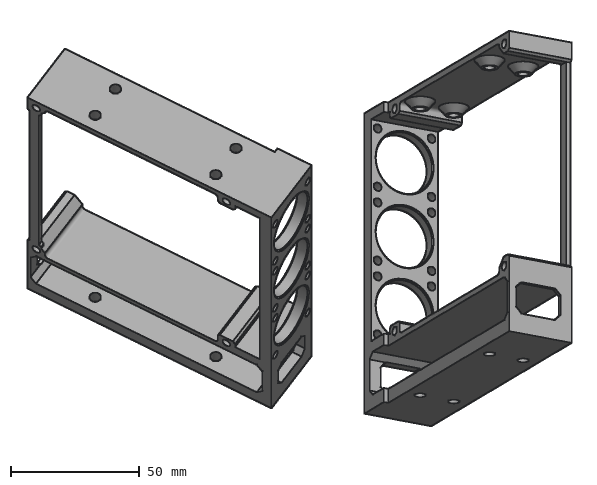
import cadquery as cq
import math

width = 111.5
height = 124.0
depth = 29.9
plate_depth = 27.9
full_depth_start = 95.9

bay_left = 5.3
bay_right = 106.0
bay_floor = 25.9
bay_ceiling = 121.3

seat_floor = 28.3
seat_ceiling = 119.8

mount_left = 4.1
mount_right = 90.9
mount_low = 28.1
mount_high = 119.9
mount_hole_diameter = 3.5
mount_half_width = 4.0
left_mount_reach = 4.0
right_mount_reach = 3.1
left_mount_bevel = 3.6
mount_edge = 1.0
mount_root_radius = 1.5

post_left = 1.0
post_depth = 2.0
post_flare = 1.0

lower_left = 1.5
lower_right = 107.3
lower_floor = 5.8
lower_ceiling = 23.5
lower_corner = 2.5
window_width = 19.8
window_height = 13.0

fan_diameter = 25.0
fan_rim_bevel = 0.5
fan_pitch = 30.5
fan_hole_diameter = 3.5
fan_hole_offset = 12.0
fan_count = 3

screw_diameter = 4.5
screw_length = 5.8
screw_center_x = 54.5
screw_spacing_x = 55.0
screw_spacing_y = 15.0
screw_boss_diameter = 6.5
screw_boss_root_diameter = 11.9

frame_middle = (mount_low + mount_high) / 2
lower_middle = (lower_floor + lower_ceiling) / 2


def box(x_range, y_range, z_range):
    """Box spanning the given ranges along X, Y and Z."""
    size = [end - start for start, end in (x_range, y_range, z_range)]
    corner = (x_range[0], y_range[0], z_range[0])
    return cq.Workplane("XY").box(*size, centered=False).translate(corner)


def frame_body():
    """Plates and walls, with the upper bay open on the left."""
    body = box((0, width), (0, depth), (0, height))
    body = body.cut(box((0, bay_right), (0, depth), (seat_floor, seat_ceiling)))
    body = body.cut(box((0, mount_right), (0, depth), (bay_floor, bay_ceiling)))
    return body.cut(box((0, full_depth_start), (plate_depth, depth), (0, height)))


def mount(points, root_z, inward, flare):
    """Boss through the frame depth.

    The outline starts on the plate at root_z. From its last point it returns to the plate
    and ends in a fillet flaring left (-1) or right (+1). The boss points up where inward is 1
    and down where it is -1.
    """
    side_x = points[-1][0]
    arc_gap = mount_root_radius * (1 - math.sqrt(0.5))
    outline = cq.Workplane("XZ").polyline(points)
    outline = outline.lineTo(side_x, root_z + inward * mount_root_radius)
    outline = outline.threePointArc(
        (side_x + flare * arc_gap, root_z + inward * arc_gap),
        (side_x + flare * mount_root_radius, root_z),
    )
    return outline.close().extrude(-plate_depth)


def left_mount(axis_z, root_z, inward):
    """Boss on the left edge, reaching from its plate into the upper bay."""
    end_z = axis_z + inward * left_mount_reach
    right = mount_left + mount_half_width
    points = [
        (0, root_z),
        (0, end_z - inward * mount_edge),
        (mount_edge, end_z),
        (right - left_mount_bevel, end_z),
        (right, end_z - inward * left_mount_bevel),
    ]
    return mount(points, root_z, inward, 1)


def right_mount(axis_z, root_z, inward):
    """Boss beside the seat, reaching from its plate into the upper bay."""
    end_z = axis_z + inward * right_mount_reach
    left = mount_right - mount_half_width
    right = mount_right + mount_half_width
    points = [
        (right, root_z),
        (right, end_z - inward * mount_edge),
        (right - mount_edge, end_z),
        (left + mount_edge, end_z),
        (left, end_z - inward * mount_edge),
    ]
    return mount(points, root_z, inward, -1)


def post():
    """Thin post whose inner edge widens at both ends."""
    low = mount_low + left_mount_reach
    high = mount_high - left_mount_reach
    flared = bay_left + post_flare
    points = [
        (post_left, mount_low),
        (flared, mount_low),
        (flared, low - post_flare),
        (bay_left, low),
        (bay_left, high),
        (flared, high + post_flare),
        (flared, mount_high),
        (post_left, mount_high),
    ]
    return cq.Workplane("XZ").polyline(points).close().extrude(-post_depth)


def mount_holes():
    """Holes through the four mounting bosses."""
    centers = [(x, z) for x in (mount_left, mount_right) for z in (mount_low, mount_high)]
    return cq.Workplane("XZ").pushPoints(centers).circle(mount_hole_diameter / 2).extrude(-depth)


def lower_bay():
    """Opening with bevelled corners through the whole depth."""
    bay = box((lower_left, lower_right), (0, depth), (lower_floor, lower_ceiling))
    return bay.edges("|Y").chamfer(lower_corner)


def windows():
    """Matching windows through both side walls of the lower bay."""
    opening = cq.Workplane("YZ").center(depth / 2, lower_middle).rect(window_width, window_height)
    return opening.extrude(width).edges("|X").chamfer(lower_corner)


def fan_opening():
    """Air opening through the right-hand wall, bevelled at both rims, with its screw holes."""
    wall = cq.Workplane("YZ", origin=(bay_right, depth / 2, frame_middle))
    thickness = width - bay_right
    rim_radius = fan_diameter / 2 + fan_rim_bevel
    opening = wall.circle(fan_diameter / 2).extrude(thickness)
    rim = wall.circle(rim_radius).extrude(fan_rim_bevel, taper=45)
    opening = opening.union(rim)
    opening = opening.union(rim.mirror("YZ", ((bay_right + width) / 2, 0, 0)))
    holes = wall.rarray(2 * fan_hole_offset, 2 * fan_hole_offset, 2, 2)
    return opening.union(holes.circle(fan_hole_diameter / 2).extrude(thickness))


def fan_openings():
    """Row of fan openings up the right-hand wall."""
    lowest = -(fan_count - 1) / 2 * fan_pitch
    openings = cq.Workplane()
    for fan in range(fan_count):
        openings.add(fan_opening().translate((0, 0, lowest + fan * fan_pitch)))
    return openings.combine()


def screw_pattern(z):
    """Centers of the four screw holes on a horizontal plane."""
    plane = cq.Workplane("XY", origin=(screw_center_x, plate_depth / 2, z))
    return plane.rarray(screw_spacing_x, screw_spacing_y, 2, 2)


def screw_bosses():
    """Conical bosses under the top plate."""
    end_z = height - screw_length
    cone = (
        cq.Workplane("XY", origin=(0, 0, end_z))
        .circle(screw_boss_diameter / 2)
        .workplane(offset=bay_ceiling - end_z)
        .circle(screw_boss_root_diameter / 2)
        .loft()
        .val()
    )
    return screw_pattern(0).eachpoint(lambda place: cone.moved(place), combine=False)


def screw_holes(start_z):
    """Screw holes through one horizontal plate."""
    return screw_pattern(start_z).circle(screw_diameter / 2).extrude(screw_length)


result = frame_body()
for placement in (
    (mount_low, bay_floor, 1),
    (mount_high, bay_ceiling, -1),
):
    result = result.union(left_mount(*placement))
    result = result.union(right_mount(*placement))
result = result.union(post())
result = result.union(screw_bosses())
for cutter in (
    mount_holes(),
    lower_bay(),
    windows(),
    fan_openings(),
    screw_holes(0),
    screw_holes(height - screw_length),
):
    result = result.cut(cutter)